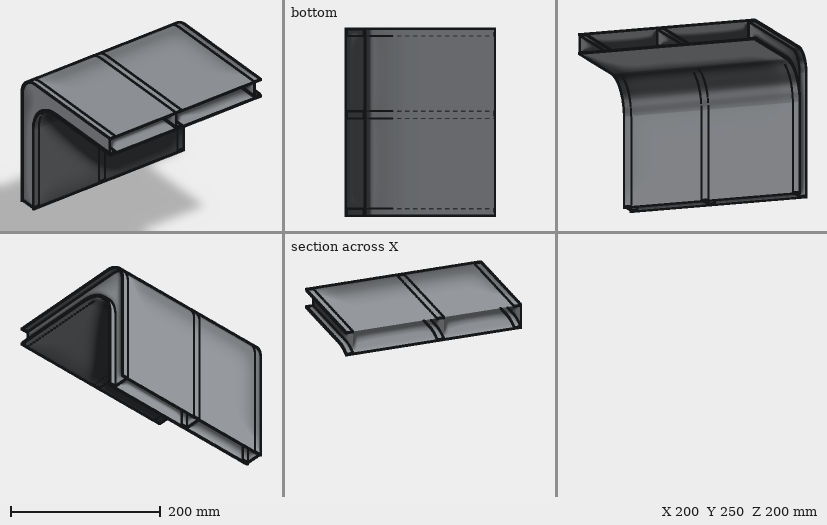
import cadquery as cq
import math

leg_length = 200.0
width = 250.0

panel_thickness = 27.0
outer_skin_thickness = 1.0
inner_skin_thickness = 1.5
outer_radius = 30.0
inner_radius = 48.5

rib_width = 10.0
sheet_thickness = 1.0
rib_setback = 2.0
middle_rib_start = 110.0
rib_starts = [0.0, middle_rib_start, width - rib_width]


def bent_band(outer_depth, inner_depth, convex_radius, concave_radius, end_setback, length):
    """L-shaped band between two depths below the outer surface, extruded along +Y from Y = 0."""
    top = leg_length - outer_depth
    underside = leg_length - inner_depth
    leg_end = leg_length - end_setback
    convex_center = (outer_depth + convex_radius, top - convex_radius)
    concave_center = (inner_depth + concave_radius, underside - concave_radius)

    def arc_midpoint(center, radius):
        reach = radius * math.sqrt(0.5)
        return (center[0] - reach, center[1] + reach)

    return (
        cq.Workplane("XZ")
        .moveTo(outer_depth, end_setback)
        .lineTo(outer_depth, convex_center[1])
        .threePointArc(arc_midpoint(convex_center, convex_radius), (convex_center[0], top))
        .lineTo(leg_end, top)
        .lineTo(leg_end, underside)
        .lineTo(concave_center[0], underside)
        .threePointArc(arc_midpoint(concave_center, concave_radius), (inner_depth, concave_center[1]))
        .lineTo(inner_depth, end_setback)
        .close()
        .extrude(-length)
    )


def make_skin(depth, convex_radius, thickness):
    """Full-width sheet of constant thickness; its two corner arcs are concentric."""
    return bent_band(
        outer_depth=depth,
        inner_depth=depth + thickness,
        convex_radius=convex_radius,
        concave_radius=convex_radius - thickness,
        end_setback=0.0,
        length=width,
    )


def rib_band(inset, length):
    """Band between the skins, kept clear of both of them by the inset."""
    outer_depth = outer_skin_thickness + inset
    inner_cover = inner_skin_thickness + inset
    return bent_band(
        outer_depth=outer_depth,
        inner_depth=panel_thickness - inner_cover,
        convex_radius=outer_radius - outer_depth,
        concave_radius=inner_radius + inner_cover,
        end_setback=rib_setback,
        length=length,
    )


def make_rib(start):
    """Bent sheet channel: a web facing -Y and a flange along each skin, open at both leg ends."""
    blank = rib_band(0.0, rib_width)
    hollow = rib_band(sheet_thickness, rib_width).translate((0, sheet_thickness, 0))
    return blank.cut(hollow).translate((0, start, 0))


outer_skin = make_skin(0.0, outer_radius, outer_skin_thickness)
inner_skin = make_skin(
    panel_thickness - inner_skin_thickness,
    inner_radius + inner_skin_thickness,
    inner_skin_thickness,
)
ribs = [make_rib(start) for start in rib_starts]

result = cq.Compound.makeCompound(
    [outer_skin.val(), inner_skin.val(), *[rib.val() for rib in ribs]]
)